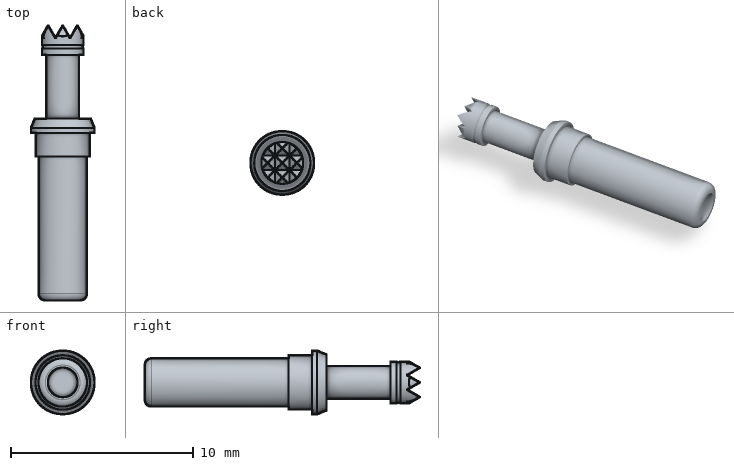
import cadquery as cq
import math

length = 15.1

body_radius = 1.33
bore_radius = 0.82
sleeve_radius = 1.5
collar_radius = 1.75
collar_nose_radius = 1.54
plunger_radius = 0.9
crown_radius = 1.15
groove_radius = 1.1

end_round = 0.38
bore_depth = 0.75
body_length = 7.9
sleeve_length = 1.3
collar_rim_length = 0.27
collar_nose_length = 0.51
crown_length = 1.62
crown_rim_length = 0.33
groove_width = 0.21

tooth_rows = 3
tooth_pitch = 0.8
tooth_angle = 60.0
tooth_depth = tooth_pitch / 2 / math.tan(math.radians(tooth_angle / 2))

sleeve_start = body_length
collar_start = sleeve_start + sleeve_length
collar_nose_start = collar_start + collar_rim_length
collar_end = collar_nose_start + collar_nose_length
crown_start = length - crown_length
groove_start = crown_start + crown_rim_length
groove_middle = groove_start + groove_width / 2
groove_end = groove_start + groove_width


def turned_probe():
    """Revolve the half profile (radius along X, station along Y) about the Y axis."""
    round_middle = end_round * math.sqrt(0.5)
    return (
        cq.Workplane("XY")
        .moveTo(0, 0)
        .lineTo(body_radius - end_round, 0)
        .threePointArc(
            (body_radius - end_round + round_middle, end_round - round_middle),
            (body_radius, end_round),
        )
        .lineTo(body_radius, sleeve_start)
        .lineTo(sleeve_radius, sleeve_start)
        .lineTo(sleeve_radius, collar_start)
        .lineTo(collar_radius, collar_start)
        .lineTo(collar_radius, collar_nose_start)
        .lineTo(collar_nose_radius, collar_end)
        .lineTo(plunger_radius, collar_end)
        .lineTo(plunger_radius, crown_start)
        .lineTo(crown_radius, crown_start)
        .lineTo(crown_radius, groove_start)
        .threePointArc((groove_radius, groove_middle), (crown_radius, groove_end))
        .lineTo(crown_radius, length)
        .lineTo(0, length)
        .close()
        .revolve(360, (0, 0, 0), (0, 1, 0))
    )


def end_bore():
    """Blind flat-bottomed hole in the open end."""
    return cq.Workplane("XZ").circle(bore_radius).extrude(-bore_depth)


def tooth_cut(valley):
    """V cut along Z whose bottom edge is at X = valley."""
    return (
        cq.Workplane("XY")
        .moveTo(valley, length - tooth_depth)
        .lineTo(valley + tooth_pitch / 2, length)
        .lineTo(valley - tooth_pitch / 2, length)
        .close()
        .extrude(2 * crown_radius, both=True)
    )


result = turned_probe().cut(end_bore())

for row in range(tooth_rows + 1):
    cut_along_z = tooth_cut((row - tooth_rows / 2) * tooth_pitch)
    cut_along_x = cut_along_z.rotate((0, 0, 0), (0, 1, 0), 90)
    result = result.cut(cut_along_z).cut(cut_along_x)